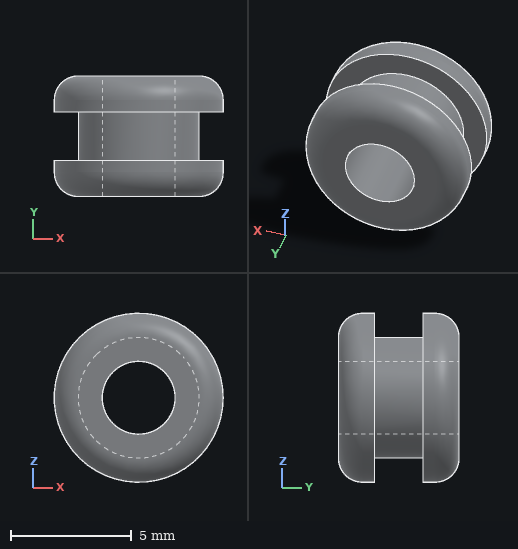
import cadquery as cq

flange_diameter = 7.0
total_length = 5.0
neck_diameter = 5.0
bore_diameter = 3.0
groove_width = 2.0
rim_radius = 1.0


def cylinder_along_y(diameter, length):
    """Cylinder on the Y axis, centred on the origin."""
    return cq.Workplane("XZ", origin=(0, length / 2, 0)).circle(diameter / 2).extrude(length)


body = cylinder_along_y(flange_diameter, total_length).faces("<Y or >Y").edges().fillet(rim_radius)

groove = cylinder_along_y(flange_diameter, groove_width).cut(
    cylinder_along_y(neck_diameter, groove_width)
)

bore = cylinder_along_y(bore_diameter, total_length)

result = body.cut(groove).cut(bore)